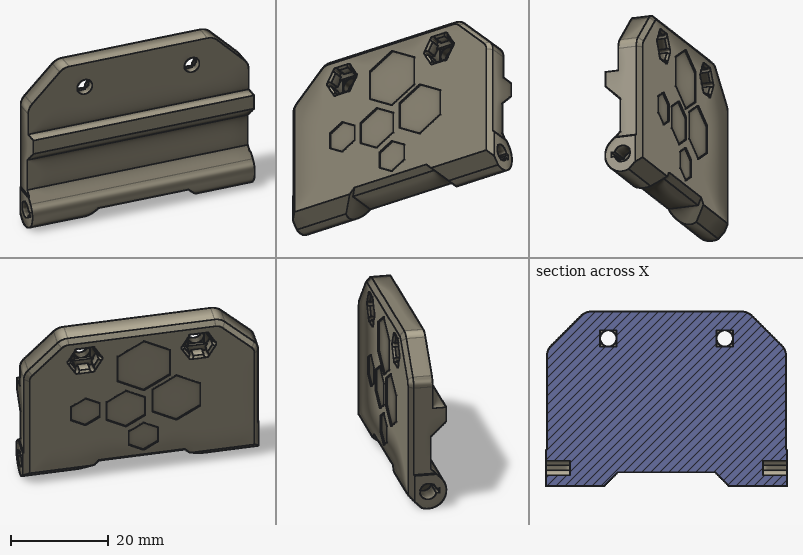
import cadquery as cq
import math


diagonal = math.sqrt(0.5)

hinge_length = 49.4
height = 35.8
depth = 7.8

panel_width = 49.0
panel_thickness = 5.0
thinned_thickness = 4.55
corner_cut = 7.9
corner_radius = 3.0
front_chamfer = 1.0

ledge_top = 21.9
ledge_lip_bottom = 18.75
ledge_root = 15.65

barrel_radius = 3.8
barrel_x = depth - barrel_radius
barrel_z = barrel_radius
barrel_block_height = 2 * barrel_radius
bottom_bevel = 2.85

pin_diameter = 3.45
pin_depth = 4.95
key_width = 1.0
key_reach = 2.4

notch_roof = 2.85
notch_bevel = 1.2
notch_top_half_width = 8.8

screw_y = 11.9
screw_z = 30.3
screw_diameter = 3.3
nut_flats = 5.5
nut_depth = 2.45
nut_chamfer = 0.5
nut_corner_radius = 0.5
bridge_step = 0.35

hexagon_depth = 0.3
hexagon_turn = 30
hexagons = [
    (-0.4, 26.9, 11.0),
    (-7.2, 17.6, 10.0),
    (3.35, 16.4, 8.05),
    (11.8, 16.9, 6.05),
    (-0.35, 8.65, 6.15),
]


def front_plane():
    """Sketch plane on the front face: local x is Y, local y is Z, normal is +X."""
    return cq.Workplane("YZ")


def hexagon_diameter(flats):
    """Corner-to-corner size of a hexagon."""
    return flats / math.cos(math.pi / 6)


def make_side_profile():
    """Solid with the X-Z section of the panel, ledge and barrel along the whole hinge."""
    tangent = barrel_radius * diagonal
    tangent_point = (barrel_x + tangent, barrel_z + tangent)
    slope_start_z = sum(tangent_point) - thinned_thickness
    bevel_distance = (barrel_x + barrel_z - bottom_bevel) * diagonal
    half_chord = math.sqrt(barrel_radius**2 - bevel_distance**2)
    bevel_end = (
        barrel_x + (half_chord - bevel_distance) * diagonal,
        barrel_z - (half_chord + bevel_distance) * diagonal,
    )
    return (
        cq.Workplane("XZ")
        .moveTo(0, bottom_bevel)
        .lineTo(0, height)
        .lineTo(panel_thickness, height)
        .lineTo(panel_thickness, ledge_top)
        .lineTo(depth, ledge_top)
        .lineTo(depth, ledge_lip_bottom)
        .lineTo(thinned_thickness, ledge_root)
        .lineTo(thinned_thickness, slope_start_z)
        .lineTo(*tangent_point)
        .threePointArc((barrel_x + tangent, barrel_z - tangent), bevel_end)
        .close()
        .extrude(hinge_length / 2, both=True)
    )


def make_panel_outline():
    """Block with clipped, rounded top corners and a chamfer round its front edges."""
    half = panel_width / 2
    block = (
        front_plane()
        .polyline([
            (-half, 0),
            (-half, height - corner_cut),
            (-half + corner_cut, height),
            (half - corner_cut, height),
            (half, height - corner_cut),
            (half, 0),
        ])
        .close()
        .extrude(depth)
    )
    block = block.edges("|X and (not <Z)").fillet(corner_radius)
    return block.faces("<X").edges("not <Z").chamfer(front_chamfer)


def make_barrel_block():
    """Slightly wider block at the bottom whose chamfered ends blend into the panel sides."""
    overhang = (hinge_length - panel_width) / 2
    return (
        cq.Workplane()
        .box(depth, hinge_length, barrel_block_height, centered=(False, True, False))
        .edges("|Z and <X")
        .chamfer(front_chamfer + overhang)
        .faces(">Z")
        .edges("<Y or >Y")
        .chamfer(overhang)
    )


def make_pin_hole(end):
    """Pin hole with a key slot toward the back; end is -1 or +1."""
    start = hinge_length / 2 - pin_depth
    hole = (
        cq.Workplane("XZ", origin=(barrel_x, 0, barrel_z))
        .circle(pin_diameter / 2)
        .extrude(-pin_depth)
    )
    key = cq.Workplane().box(key_reach, pin_depth, key_width, centered=(False, False, True))
    key = key.translate((barrel_x, 0, barrel_z))
    cutter = hole.union(key).translate((0, start, 0))
    return cutter if end > 0 else cutter.mirror("XZ")


def make_notch():
    """Trapezoidal notch through the barrel, its roof bevelled at the front."""
    bevel_top = notch_roof + notch_bevel
    bottom_half_width = notch_top_half_width + bevel_top
    trapezoid = (
        front_plane()
        .polyline([
            (-bottom_half_width, 0),
            (-notch_top_half_width, bevel_top),
            (notch_top_half_width, bevel_top),
            (bottom_half_width, 0),
        ])
        .close()
        .extrude(depth)
    )
    roof = (
        cq.Workplane("XZ")
        .polyline([(0, 0), (0, bevel_top), (notch_bevel, notch_roof), (depth, notch_roof), (depth, 0)])
        .close()
        .extrude(hinge_length / 2, both=True)
    )
    return trapezoid.intersect(roof)


def make_relieved_hexagon(length):
    """Hexagonal prism of the nut size with a round relief at each corner."""
    corners = hexagon_diameter(nut_flats)
    prism = front_plane().polygon(6, corners).extrude(length)
    corner_points = front_plane().polygon(6, corners, forConstruction=True).vertices()
    return prism.union(corner_points.circle(nut_corner_radius).extrude(length))


def make_nut_pocket():
    """Screw hole, nut pocket with relieved corners, and two bridging steps between them."""
    corners = hexagon_diameter(nut_flats)
    reach = corners / 2 + nut_corner_radius
    pocket = make_relieved_hexagon(nut_depth)
    entry = (
        front_plane()
        .polygon(6, hexagon_diameter(nut_flats + 2 * nut_chamfer))
        .workplane(offset=nut_chamfer)
        .polygon(6, corners)
        .loft(ruled=True)
        .intersect(front_plane().circle(reach).extrude(nut_chamfer))
    )
    channel_depth = nut_depth + bridge_step
    channel = (
        front_plane()
        .rect(2 * reach, screw_diameter)
        .extrude(channel_depth)
        .intersect(make_relieved_hexagon(channel_depth))
    )
    square_depth = channel_depth + bridge_step
    square = front_plane().rect(screw_diameter, screw_diameter).extrude(square_depth)
    hole = front_plane().circle(screw_diameter / 2).extrude(panel_thickness)
    return pocket.union(entry).union(channel).union(square).union(hole)


def make_hexagon_recess(y, z, flats):
    """Shallow hexagon with a corner pointing up."""
    hexagon = front_plane().polygon(6, hexagon_diameter(flats)).extrude(hexagon_depth)
    return hexagon.rotate((0, 0, 0), (1, 0, 0), hexagon_turn).translate((0, y, z))


result = make_panel_outline().union(make_barrel_block()).intersect(make_side_profile())
result = result.cut(make_notch())

for side in (-1, 1):
    result = result.cut(make_pin_hole(side))
    result = result.cut(make_nut_pocket().translate((0, side * screw_y, screw_z)))

for center_y, center_z, flats in hexagons:
    result = result.cut(make_hexagon_recess(center_y, center_z, flats))